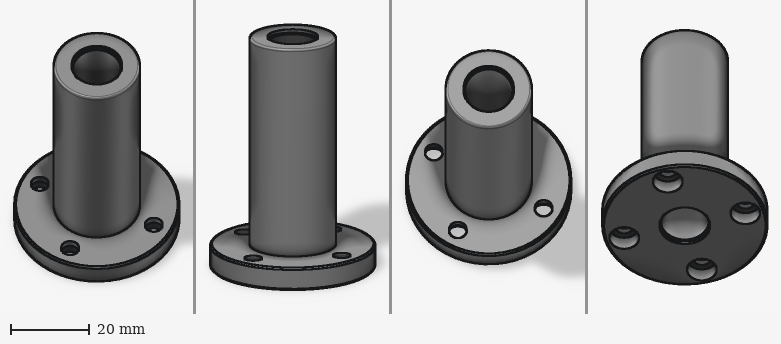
import cadquery as cq

flange_diameter = 42.0
flange_thickness = 6.0
flange_chamfer = 0.5

total_height = 61.0
sleeve_diameter = 22.0
sleeve_rounding = 0.6

bore_diameter = 12.0
mouth_diameter = 12.8
mouth_depth = 1.0
groove_diameter = 13.6
groove_width = 0.25

screw_count = 4
screw_circle_diameter = 31.95
screw_hole_diameter = 4.5
screw_head_diameter = 7.5
screw_head_depth = 4.1


def cylinder(diameter, height, base_z=0.0):
    return cq.Workplane("XY").workplane(offset=base_z).circle(diameter / 2).extrude(height)


def make_body():
    flange = cylinder(flange_diameter, flange_thickness).edges().chamfer(flange_chamfer)
    sleeve = cylinder(sleeve_diameter, total_height).faces(">Z").edges().fillet(sleeve_rounding)
    return flange.union(sleeve)


def cut_bore(body):
    bore = cylinder(bore_diameter, total_height)
    mouth = cylinder(mouth_diameter, mouth_depth)
    groove = cylinder(groove_diameter, groove_width, mouth_depth)
    bottom_end = mouth.union(groove)
    top_end = bottom_end.mirror("XY").translate((0, 0, total_height))
    return body.cut(bore).cut(bottom_end).cut(top_end)


def cut_screw_holes(body):
    return (
        body.faces("<Z")
        .workplane(origin=(0, 0, 0))
        .polarArray(screw_circle_diameter / 2, 0, 360, screw_count)
        .cboreHole(screw_hole_diameter, screw_head_diameter, screw_head_depth, flange_thickness)
    )


result = cut_screw_holes(cut_bore(make_body()))